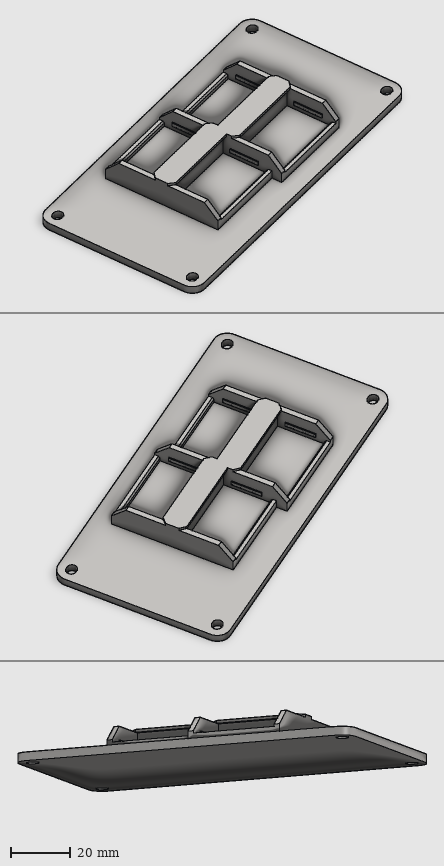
import cadquery as cq

PLATE_WIDTH = 65.0
PLATE_LENGTH = 125.0
PLATE_THICKNESS = 3.0
PLATE_CORNER_RADIUS = 5.0
SLOT_WIDTH = 3.7
SLOT_LENGTH = 4.3
SLOT_EDGE_DISTANCE = 5.0
SLOT_SPACING_X = PLATE_WIDTH - 2 * SLOT_EDGE_DISTANCE
SLOT_SPACING_Y = PLATE_LENGTH - 2 * SLOT_EDGE_DISTANCE

BAY_DEPTH = 18.0
BAY_LENGTH = 30.0
SPINE_WIDTH = 6.0
CAP_OVERHANG = 1.5
SILL_WIDTH = 2.0
WALL_THICKNESS = 2.0
ROW_STAGGER = 2.0

FLOOR_Z = 4.2
SILL_Z = 6.2
WALL_Z = 12.5
CAP_Z = 13.5

WALL_END_HEIGHT = 4.0
SILL_CHAMFER = 0.6
CAP_CHAMFER = 2.0

RIB_LENGTH = 11.6
RIB_SPINE_GAP = 3.0
RIB_PROTRUSION = 0.45
RIB_BOTTOM_Z = 6.2
RIB_TOP_Z = 7.7

CAP_WIDTH = SPINE_WIDTH + 2 * CAP_OVERHANG
ROW_HALF_WIDTH = SPINE_WIDTH / 2 + BAY_DEPTH + SILL_WIDTH
ROW_PITCH = BAY_LENGTH + WALL_THICKNESS
ROW_LENGTH = BAY_LENGTH + 2 * WALL_THICKNESS
BAY_HALF_LENGTH = BAY_LENGTH / 2


def block(x_range, y_range, z_range):
    """Box spanning the given (low, high) ranges."""
    sizes = [high - low for low, high in (x_range, y_range, z_range)]
    corner = (x_range[0], y_range[0], z_range[0])
    return cq.Workplane("XY").box(*sizes, centered=False).translate(corner)


def make_plate():
    """Rounded plate with a short through slot near each corner."""
    plate = (
        cq.Workplane("XY")
        .box(PLATE_WIDTH, PLATE_LENGTH, PLATE_THICKNESS, centered=(True, True, False))
        .edges("|Z")
        .fillet(PLATE_CORNER_RADIUS)
    )
    return (
        plate.faces(">Z")
        .workplane()
        .rect(SLOT_SPACING_X, SLOT_SPACING_Y, forConstruction=True)
        .vertices()
        .slot2D(SLOT_LENGTH, SLOT_WIDTH, 90)
        .cutThruAll()
    )


def make_wall(x_low, x_high, y_centre):
    """Cross wall with both upper ends sloped at 45 degrees."""
    slope = WALL_Z - PLATE_THICKNESS - WALL_END_HEIGHT
    wall = block(
        (x_low, x_high),
        (y_centre - WALL_THICKNESS / 2, y_centre + WALL_THICKNESS / 2),
        (PLATE_THICKNESS, WALL_Z),
    )
    return wall.edges("|Y and >Z").chamfer(slope)


def make_sill(side):
    """Low outer lip of a bay, chamfered on its inner upper edge; side is -1 or +1."""
    outer = ROW_HALF_WIDTH
    inner = ROW_HALF_WIDTH - SILL_WIDTH
    profile = [
        (side * outer, PLATE_THICKNESS),
        (side * outer, SILL_Z),
        (side * (inner + SILL_CHAMFER), SILL_Z),
        (side * inner, SILL_Z - SILL_CHAMFER),
        (side * inner, PLATE_THICKNESS),
    ]
    return cq.Workplane("XZ").polyline(profile).close().extrude(BAY_HALF_LENGTH, both=True)


def make_rib(side, end):
    """Retaining rib on the wall at one end of a bay; side and end are -1 or +1."""
    near = SPINE_WIDTH / 2 + RIB_SPINE_GAP
    x_range = sorted((side * near, side * (near + RIB_LENGTH)))
    y_range = sorted((end * BAY_HALF_LENGTH, end * (BAY_HALF_LENGTH - RIB_PROTRUSION)))
    return block(x_range, y_range, (RIB_BOTTOM_Z, RIB_TOP_Z))


def make_spine():
    """Spine of one row with an overhanging cap, its corners chamfered in plan."""
    half_length = ROW_LENGTH / 2
    y_range = (-half_length, half_length)
    web = block((-SPINE_WIDTH / 2, SPINE_WIDTH / 2), y_range, (PLATE_THICKNESS, WALL_Z))
    cap = block((-CAP_WIDTH / 2, CAP_WIDTH / 2), y_range, (WALL_Z, CAP_Z))
    return web.union(cap.edges("|Z").chamfer(CAP_CHAMFER))


def make_row():
    """Floor, spine and sills of one row of two bays, centred on the Z axis."""
    row = block(
        (-ROW_HALF_WIDTH, ROW_HALF_WIDTH),
        (-BAY_HALF_LENGTH, BAY_HALF_LENGTH),
        (PLATE_THICKNESS, FLOOR_Z),
    )
    row = row.union(make_spine())
    for side in (-1, 1):
        row = row.union(make_sill(side))
    return row


left = -ROW_HALF_WIDTH
right = ROW_HALF_WIDTH
result = make_plate()

result = result.union(make_wall(left - ROW_STAGGER, right - ROW_STAGGER, -ROW_PITCH))
result = result.union(make_wall(left - ROW_STAGGER, right + ROW_STAGGER, 0))
result = result.union(make_wall(left + ROW_STAGGER, right + ROW_STAGGER, ROW_PITCH))

for row_side in (-1, 1):
    row_centre = (row_side * ROW_STAGGER, row_side * ROW_PITCH / 2, 0)
    result = result.union(make_row().translate(row_centre))
    for side in (-1, 1):
        for end in (-1, 1):
            result = result.union(make_rib(side, end).translate(row_centre))